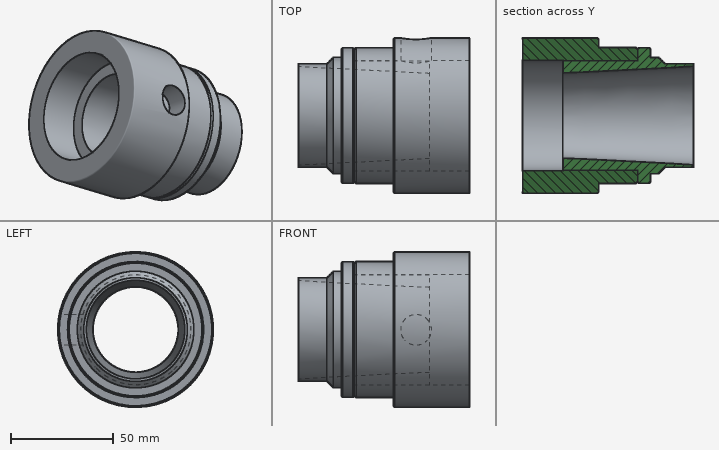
import cadquery as cq

overall_length = 83.82

mouth_diameter = 50.8
mouth_length = 14.0
neck_diameter = 57.15
neck_taper = (neck_diameter - mouth_diameter) / 2
flange_start = 21.0
flange_diameter = 66.55
joint_x = 27.4
spigot_diameter = 53.85
spigot_end = 64.0
bore_mouth_diameter = 48.26
bore_throat_diameter = 41.65
flange_chamfer = 0.76

front_diameter = 66.67
shoulder_x = 46.4
barrel_diameter = 76.2
sleeve_bore_diameter = 53.98
joint_chamfer = 0.85
shoulder_chamfer = 0.76
end_fillet = 0.55

port_diameter = 15.0
port_x = 57.5


def revolve_about_x(profile):
    """Revolve a closed outline of (x, radius) points about the X axis."""
    return cq.Workplane("XY").polyline(profile).close().revolve(360, (0, 0, 0), (1, 0, 0))


def make_nose():
    mouth_radius = mouth_diameter / 2
    neck_radius = neck_diameter / 2
    flange_radius = flange_diameter / 2
    spigot_radius = spigot_diameter / 2
    return revolve_about_x([
        (0, bore_mouth_diameter / 2),
        (0, mouth_radius),
        (mouth_length, mouth_radius),
        (mouth_length + neck_taper, neck_radius),
        (flange_start, neck_radius),
        (flange_start, flange_radius - flange_chamfer),
        (flange_start + flange_chamfer, flange_radius),
        (joint_x - flange_chamfer, flange_radius),
        (joint_x, flange_radius - flange_chamfer),
        (joint_x, spigot_radius),
        (spigot_end, spigot_radius),
        (spigot_end, bore_throat_diameter / 2),
    ])


def make_sleeve():
    bore_radius = sleeve_bore_diameter / 2
    front_radius = front_diameter / 2
    barrel_radius = barrel_diameter / 2
    sleeve = revolve_about_x([
        (joint_x, bore_radius),
        (joint_x, front_radius - joint_chamfer),
        (joint_x + joint_chamfer, front_radius),
        (shoulder_x, front_radius),
        (shoulder_x, barrel_radius - shoulder_chamfer),
        (shoulder_x + shoulder_chamfer, barrel_radius),
        (overall_length, barrel_radius),
        (overall_length, bore_radius),
    ])
    outer_end_edge = cq.selectors.RadiusNthSelector(-1)
    sleeve = sleeve.faces(">X").edges(outer_end_edge).fillet(end_fillet)

    port = (
        cq.Workplane("XZ")
        .center(port_x, 0)
        .circle(port_diameter / 2)
        .extrude(-barrel_diameter)
    )
    return sleeve.cut(port)


nose = make_nose()
sleeve = make_sleeve()

result = cq.Compound.makeCompound([nose.val(), sleeve.val()])